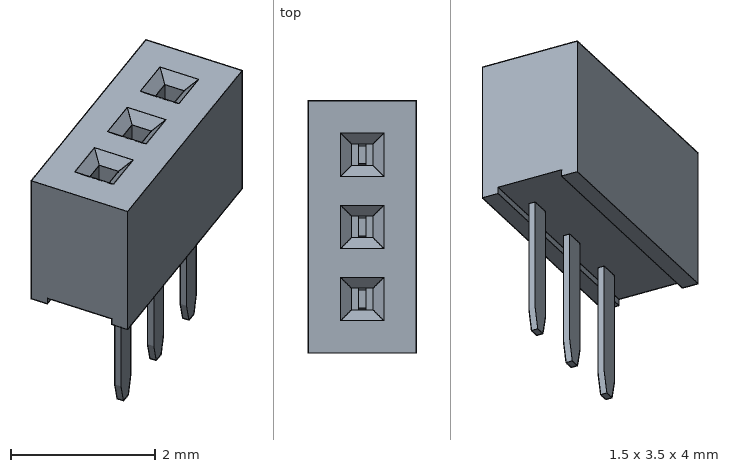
import cadquery as cq

contact_count = 3
pitch = 1.0
body_width = 1.5
end_margin = 0.75 * pitch
body_length = (contact_count - 1) * pitch + 2 * end_margin
total_height = 4.0
body_height = 2.1
body_bottom = total_height - body_height

channel_width = 1.0
channel_depth = 0.1
channel_roof = body_bottom + channel_depth

mouth_side = 0.6
cavity_side = mouth_side / 2
lead_in_depth = (mouth_side - cavity_side) / 2
floor_thickness = 0.4
cavity_floor = channel_roof + floor_thickness

sheet_thickness = 0.1
pin_width = 0.305
pin_tip_width = pin_width / 2
pin_taper_height = 0.31
pin_offset = 0.29
pin_embedment = 0.1
blade_width = cavity_side
blade_tip_width = 0.25
blade_taper_height = 0.3
blade_height = 0.8

contact_positions = [(i - (contact_count - 1) / 2) * pitch for i in range(contact_count)]


def make_housing():
    block = (
        cq.Workplane("XY")
        .workplane(offset=body_bottom)
        .rect(body_width, body_length)
        .extrude(body_height)
    )
    channel = (
        cq.Workplane("XY")
        .workplane(offset=body_bottom)
        .rect(channel_width, body_length)
        .extrude(channel_depth)
    )
    return block.cut(channel)


def make_socket(y):
    lead_in = (
        cq.Workplane("XY", origin=(0, y, total_height))
        .rect(mouth_side, mouth_side)
        .workplane(offset=-lead_in_depth)
        .rect(cavity_side, cavity_side)
        .loft(ruled=True)
    )
    cavity = (
        cq.Workplane("XY", origin=(0, y, cavity_floor))
        .rect(cavity_side, cavity_side)
        .extrude(total_height - lead_in_depth - cavity_floor)
    )
    return lead_in.union(cavity)


def make_flat_contact(x, y, base_z, shoulder_z, tip_z, base_width, tip_width):
    """Flat strip in the YZ plane, centred on (x, y), narrowing from shoulder to tip."""
    outline = [
        (-base_width / 2, base_z),
        (-base_width / 2, shoulder_z),
        (-tip_width / 2, tip_z),
        (tip_width / 2, tip_z),
        (base_width / 2, shoulder_z),
        (base_width / 2, base_z),
    ]
    return (
        cq.Workplane("YZ", origin=(x, y, 0))
        .polyline(outline)
        .close()
        .extrude(sheet_thickness / 2, both=True)
    )


def make_pin(y):
    """Solder pin hanging below the housing."""
    base_z = channel_roof + pin_embedment
    return make_flat_contact(pin_offset, y, base_z, pin_taper_height, 0, pin_width, pin_tip_width)


def make_blade(y):
    """Contact blade standing on the cavity floor."""
    tip_z = cavity_floor + blade_height
    shoulder_z = tip_z - blade_taper_height
    return make_flat_contact(0, y, cavity_floor, shoulder_z, tip_z, blade_width, blade_tip_width)


result = make_housing()
for contact_y in contact_positions:
    result = result.cut(make_socket(contact_y))
    result = result.union(make_blade(contact_y))
    result = result.union(make_pin(contact_y))